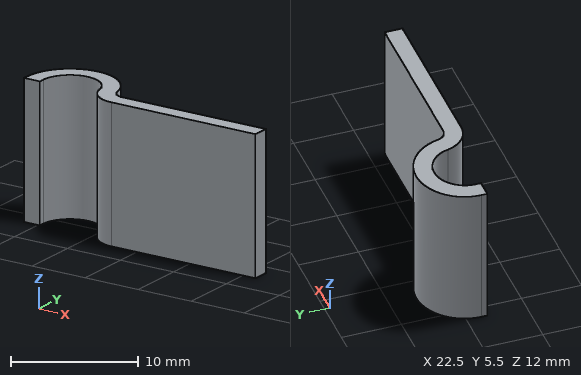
import cadquery as cq
import math

strip_thickness = 1.5
strip_width = 12.0
overall_length = 22.5
hook_inner_radius = 2.5
bend_inner_radius = 1.0
tip_length = 0.5

hook_outer_radius = hook_inner_radius + strip_thickness
bend_outer_radius = bend_inner_radius + strip_thickness
plate_end_x = overall_length - hook_outer_radius

axis_distance = hook_outer_radius + bend_inner_radius
bend_y = bend_inner_radius
bend_x = math.sqrt(axis_distance**2 - bend_y**2)

joint_angle = math.asin(bend_y / axis_distance)
bend_start_angle = math.pi + joint_angle
bend_end_angle = 1.5 * math.pi
bend_mid_angle = (bend_start_angle + bend_end_angle) / 2


def hook_point(radius, angle):
    """Point at a radius and angle about the hook axis."""
    return (radius * math.cos(angle), radius * math.sin(angle))


def bend_point(radius, angle):
    """Point at a radius and angle about the reverse bend axis."""
    return (bend_x + radius * math.cos(angle), bend_y + radius * math.sin(angle))


def strip_profile():
    """Closed outline of the bent strip in the XY plane."""
    return (
        cq.Workplane("XY")
        .moveTo(-hook_outer_radius, -tip_length)
        .lineTo(-hook_outer_radius, 0)
        .threePointArc((0, hook_outer_radius), hook_point(hook_outer_radius, joint_angle))
        .threePointArc(bend_point(bend_inner_radius, bend_mid_angle), (bend_x, 0))
        .lineTo(plate_end_x, 0)
        .lineTo(plate_end_x, -strip_thickness)
        .lineTo(bend_x, -strip_thickness)
        .threePointArc(
            bend_point(bend_outer_radius, bend_mid_angle),
            hook_point(hook_inner_radius, joint_angle),
        )
        .threePointArc((0, hook_inner_radius), (-hook_inner_radius, 0))
        .lineTo(-hook_inner_radius, -tip_length)
        .close()
    )


result = strip_profile().extrude(strip_width)